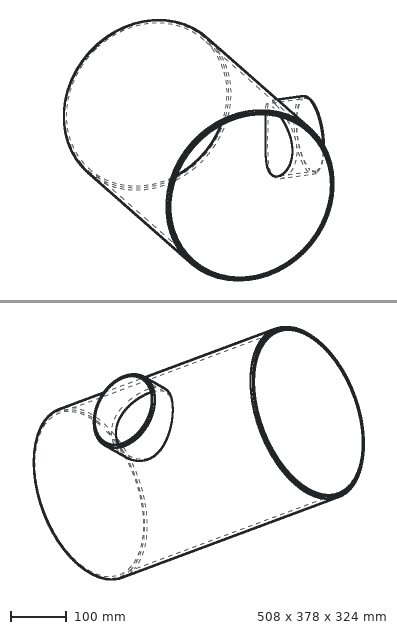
import cadquery as cq

run_length = 508.0
run_diameter = 324.0
run_wall = 6.5

branch_diameter = 142.0
branch_wall = 5.0
branch_reach = 216.0

bevel = 3.0

run_plane = cq.Plane(origin=(-run_length / 2, 0, 0), xDir=(0, 1, 0), normal=(1, 0, 0))
branch_plane = cq.Plane(origin=(0, 0, 0), xDir=(1, 0, 0), normal=(0, 1, 0))


def cylinder(plane, diameter, length):
    return cq.Workplane(plane).circle(diameter / 2).extrude(length)


run_body = cylinder(run_plane, run_diameter, run_length)
run_body = run_body.faces("<X or >X").edges().chamfer(bevel)
branch_body = cylinder(branch_plane, branch_diameter, branch_reach)
branch_body = branch_body.faces(">Y").edges().chamfer(bevel)

run_bore = cylinder(run_plane, run_diameter - 2 * run_wall, run_length)
branch_bore = cylinder(branch_plane, branch_diameter - 2 * branch_wall, branch_reach)

result = run_body.union(branch_body).cut(run_bore).cut(branch_bore)